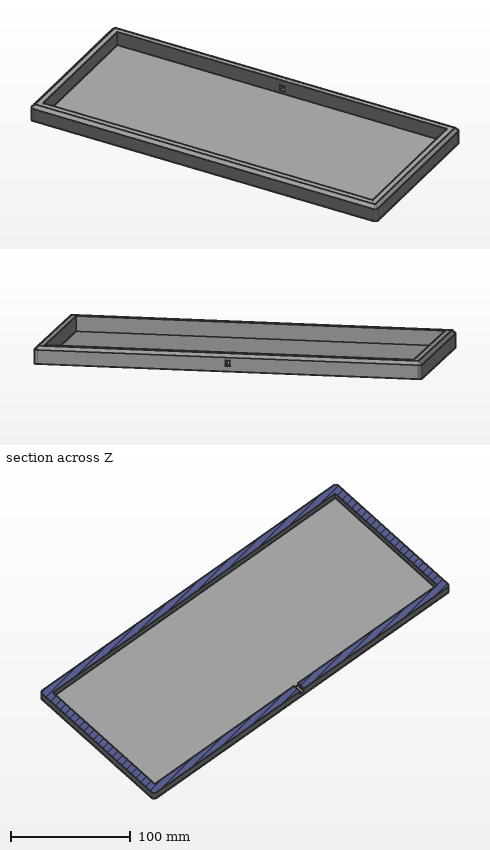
import cadquery as cq

length = 331.0
width = 144.0
height = 15.0

wall = 8.0
floor_thickness = 2.0
corner_radius = 3.0
corner_remainder = 0.01
rim_chamfer = corner_radius - corner_remainder

opening_width = 4.0
opening_height = 5.0
opening_sill = 2.5


def tray_body():
    """Block with rounded vertical corners and a chamfered top rim."""
    block = cq.Workplane("XY").box(length, width, height, centered=(True, True, False))
    rounded = block.edges("|Z").fillet(corner_radius)
    return rounded.faces(">Z").edges().chamfer(rim_chamfer)


def cavity():
    """Sharp-cornered rectangular pocket open at the top."""
    return (
        cq.Workplane("XY")
        .workplane(offset=floor_thickness)
        .rect(length - 2 * wall, width - 2 * wall)
        .extrude(height - floor_thickness)
    )


def wall_opening():
    """Cutter that passes through the +Y wall at mid-length."""
    return (
        cq.Workplane("XY")
        .box(opening_width, wall, opening_height, centered=(True, True, False))
        .translate((0, (width - wall) / 2, floor_thickness + opening_sill))
    )


result = tray_body().cut(cavity()).cut(wall_opening())